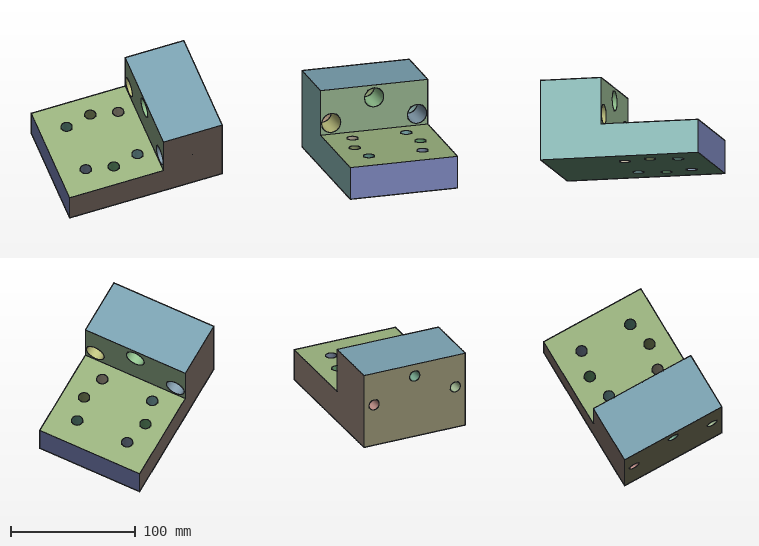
import cadquery as cq
import math

width = 90.0
length = 130.0
height = 65.0
base_thickness = 27.0
block_depth = 50.0
step_y = length / 2 - block_depth

base_hole_diameter = 9.0
row_pitch = 22.0
middle_row_y = -21.0
outer_row_half_spacing = 22.5
middle_row_half_spacing = 27.5

bolt_diameter = 9.0
head_bore_diameter = 16.0
head_bore_depth = block_depth / 2
seat_angle = 118.0
side_bolt_x = 36.0
side_bolt_z = 36.5
centre_bolt_z = 54.5

base = cq.Workplane("XY").box(width, length, base_thickness, centered=(True, True, False))
block = (
    cq.Workplane("XY")
    .center(0, length / 2 - block_depth / 2)
    .box(width, block_depth, height, centered=(True, True, False))
)
body = base.union(block)

base_hole_points = []
for row in (-1, 0, 1):
    half_spacing = middle_row_half_spacing if row == 0 else outer_row_half_spacing
    for side in (-1, 1):
        base_hole_points.append((side * half_spacing, middle_row_y + row * row_pitch))
base_holes = (
    cq.Workplane("XY")
    .pushPoints(base_hole_points)
    .circle(base_hole_diameter / 2)
    .extrude(base_thickness)
)
body = body.cut(base_holes)

head_radius = head_bore_diameter / 2
bolt_radius = bolt_diameter / 2
seat_depth = (head_radius - bolt_radius) / math.tan(math.radians(seat_angle / 2))
seat_start_y = step_y + head_bore_depth
back_y = length / 2
bolt_hole_profile = [
    (0, step_y),
    (head_radius, step_y),
    (head_radius, seat_start_y),
    (bolt_radius, seat_start_y + seat_depth),
    (bolt_radius, back_y),
    (0, back_y),
]
bolt_hole = cq.Workplane("XY").polyline(bolt_hole_profile).close().revolve(360, (0, 0, 0), (0, 1, 0))

result = body
for x, z in [(-side_bolt_x, side_bolt_z), (0, centre_bolt_z), (side_bolt_x, side_bolt_z)]:
    result = result.cut(bolt_hole.translate((x, 0, z)))